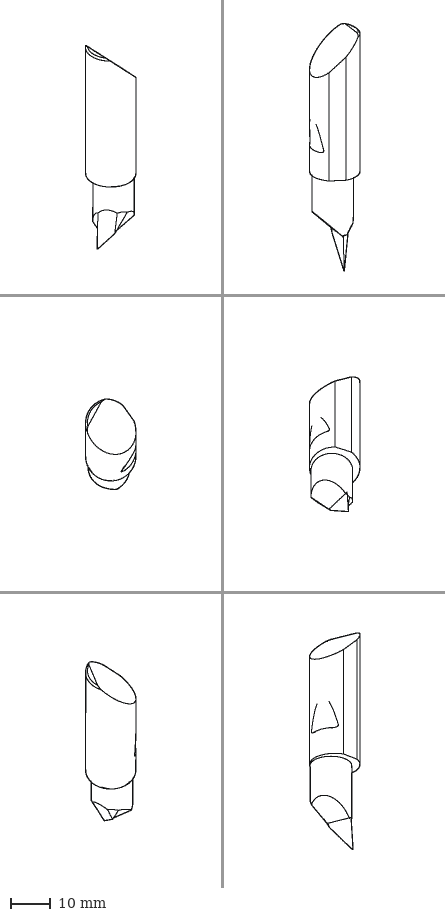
import cadquery as cq
import math

length = 63.15
shank_diameter = 12.7
shank_radius = shank_diameter / 2
shank_bottom = 25.1
top_chamfer = 0.5
bevel_axis_height = 58.55
flat_half_angle = 20.0

notch_bottom = 32.35
notch_top = 41.2
notch_sharp_depth = 1.45
notch_fillet = 0.75

neck_diameter = 10.5
neck_radius = neck_diameter / 2
neck_x = shank_radius - neck_radius

blade_top = 9.1
tip = cq.Vector(-5.3, 0, 0)
ridge_start = cq.Vector(-5.3, -0.2, 0)
blade_shoulder = cq.Vector(-4.75, 0, blade_top)
heel = cq.Vector(1.5, 0, 7.75)
ridge_top = cq.Vector(1.25, -neck_radius, 16.1)
relief_edge = cq.Vector(-3.9, -1.5, blade_top)
relief_corner = cq.Vector(-2.3, -4.0, 11.2)
heel_facet_front = cq.Vector(5.4, -3.0, 16.9)
heel_facet_back = cq.Vector(shank_radius, 0, 16.55)
ridge_at_shoulder = ridge_start + (ridge_top - ridge_start) * (blade_top / ridge_top.z)
blade_core = cq.Vector(-1.25, -0.3, 7.6)

cutter_size = 4 * length


def cut_beyond(body, a, b, c, kept_point):
    """Trim body by the plane through a, b, c, keeping the side of kept_point."""
    normal = (b - a).cross(c - a)
    if normal.dot(kept_point - a) > 0:
        normal = normal * -1
    plane = cq.Plane(origin=a, xDir=b - a, normal=normal)
    cutter = cq.Workplane(plane).rect(cutter_size, cutter_size).extrude(cutter_size)
    return body.cut(cutter)


def make_shank():
    shank = (
        cq.Workplane("XY").workplane(offset=shank_bottom)
        .circle(shank_radius).extrude(length - shank_bottom)
        .faces(">Z").edges().chamfer(top_chamfer)
    )
    axis_point = cq.Vector(0, 0, shank_bottom)

    bevel_point = cq.Vector(0, 0, bevel_axis_height)
    shank = cut_beyond(
        shank, bevel_point, bevel_point + cq.Vector(0.6, 0, 0),
        bevel_point + cq.Vector(0, 0.6, -0.6), axis_point,
    )

    chord_angle = math.radians(180 - 2 * flat_half_angle)
    chord_start = cq.Vector(-shank_radius, 0, 0)
    chord_end = cq.Vector(
        shank_radius * math.cos(chord_angle), shank_radius * math.sin(chord_angle), 0
    )
    shank = cut_beyond(shank, chord_start, chord_end, chord_start + cq.Vector(0, 0, 0.6), axis_point)

    notch_root = shank_radius - notch_sharp_depth
    notch = (
        cq.Workplane("YZ")
        .polyline([(shank_radius, notch_top), (notch_root, notch_bottom), (shank_radius, notch_bottom)])
        .close().extrude(shank_radius, both=True)
        .edges("|X and <Y").fillet(notch_fillet)
    )
    return shank.cut(notch)


def make_neck():
    neck = (
        cq.Workplane("XY").workplane(offset=blade_top).center(neck_x, 0)
        .circle(neck_radius).extrude(shank_bottom - blade_top)
    )
    neck_core = cq.Vector(neck_x, 0, shank_bottom)

    back_edge = cq.Vector(0, 0, blade_top)
    neck = cut_beyond(
        neck, back_edge, back_edge + cq.Vector(0.6, 0, 0),
        back_edge + cq.Vector(0, 0.6, 0.6), neck_core,
    )
    neck = cut_beyond(neck, ridge_at_shoulder, relief_edge, relief_corner, neck_core)
    return cut_beyond(neck, ridge_at_shoulder, ridge_top, relief_corner, neck_core)


def make_blade():
    width = 2 * shank_diameter
    blade = cq.Workplane("XY").box(width, width, blade_top, centered=(True, False, False))
    blade = blade.translate((0, -width, 0))
    return cut_beyond(blade, tip, blade_shoulder, ridge_at_shoulder, blade_core)


def grind_front(body):
    """Grind the main face and the narrow heel facet across neck and blade."""
    body = cut_beyond(body, ridge_start, ridge_top, heel, blade_core)
    body = cut_beyond(body, heel, heel_facet_back, heel + cq.Vector(0, 0.6, 0), blade_core)
    return cut_beyond(body, heel, heel_facet_front, heel_facet_back, blade_core)


result = make_shank().union(grind_front(make_neck())).union(grind_front(make_blade()))